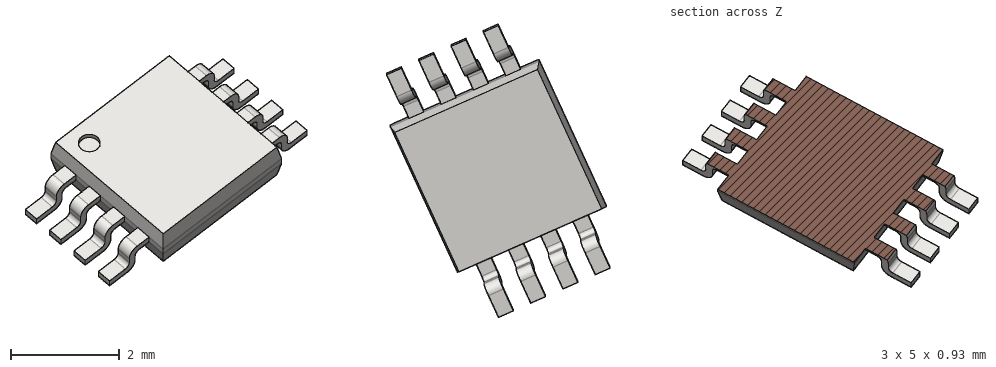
import cadquery as cq
import math

overall_length = 5.0
overall_height = 0.93

body_side = 3.0
body_height = 0.855
draft_angle = 10.0

lead_count_per_side = 4
lead_pitch = 0.65
lead_width = 0.3
lead_thickness = 0.15
riser_outer_y = 2.0
bend_outer_radius = 0.2
bend_inner_radius = 0.1

mark_diameter = 0.4
mark_inset = 0.5
mark_depth = 0.1

body_bottom = overall_height - body_height
band_bottom = body_bottom + (body_height - lead_thickness) / 2
band_top = band_bottom + lead_thickness


def drafted_half(start_z, direction):
    """Half of the body, narrowing from the band up (+1) or down (-1)."""
    height = (body_height - lead_thickness) / 2
    return (
        cq.Workplane("XY")
        .rect(body_side, body_side)
        .extrude(direction * height, taper=draft_angle)
        .translate((0, 0, start_z))
    )


def make_body():
    band = (
        cq.Workplane("XY")
        .workplane(offset=band_bottom)
        .rect(body_side, body_side)
        .extrude(lead_thickness)
    )
    return band.union(drafted_half(band_top, 1)).union(drafted_half(band_bottom, -1))


def bend(sketch, center, radius, start_angle, end_angle):
    """Line to the start of a bend, then its arc. Angles in degrees, in the YZ plane."""
    def on_arc(angle):
        radians = math.radians(angle)
        return (center[0] + radius * math.cos(radians), center[1] + radius * math.sin(radians))

    middle_angle = (start_angle + end_angle) / 2
    return sketch.lineTo(*on_arc(start_angle)).threePointArc(on_arc(middle_angle), on_arc(end_angle))


def make_lead(x):
    """Gull-wing lead on the +Y side, centred on the given X."""
    tip_y = overall_length / 2
    root_y = body_side / 2
    riser_inner_y = riser_outer_y - lead_thickness
    shoulder_outer_center = (riser_outer_y - bend_outer_radius, band_top - bend_outer_radius)
    shoulder_inner_center = (riser_inner_y - bend_inner_radius, band_bottom - bend_inner_radius)
    foot_inner_center = (riser_outer_y + bend_inner_radius, lead_thickness + bend_inner_radius)
    foot_outer_center = (riser_inner_y + bend_outer_radius, bend_outer_radius)

    profile = cq.Workplane("YZ").moveTo(root_y, band_top)
    profile = bend(profile, shoulder_outer_center, bend_outer_radius, 90, 0)
    profile = bend(profile, foot_inner_center, bend_inner_radius, 180, 270)
    profile = profile.lineTo(tip_y, lead_thickness).lineTo(tip_y, 0)
    profile = bend(profile, foot_outer_center, bend_outer_radius, 270, 180)
    profile = bend(profile, shoulder_inner_center, bend_inner_radius, 0, 90)
    profile = profile.lineTo(root_y, band_bottom).close()
    return profile.extrude(lead_width / 2, both=True).translate((x, 0, 0))


def make_pin_mark():
    mark_offset = body_side / 2 - mark_inset
    return (
        cq.Workplane("XY")
        .workplane(offset=overall_height - mark_depth)
        .center(-mark_offset, -mark_offset)
        .circle(mark_diameter / 2)
        .extrude(mark_depth)
    )


result = make_body()
for index in range(lead_count_per_side):
    lead = make_lead((index - (lead_count_per_side - 1) / 2) * lead_pitch)
    result = result.union(lead).union(lead.mirror("XZ"))
result = result.cut(make_pin_mark())